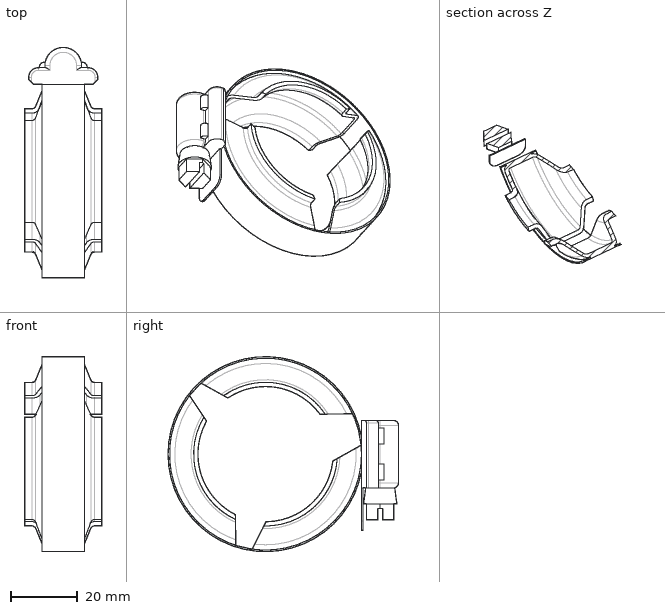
import cadquery as cq
import math

BAND_OUTER_R = 29.2
BAND_THICKNESS = 0.5
BAND_INNER_R = BAND_OUTER_R - BAND_THICKNESS
BAND_WIDTH = 12.74

SEGMENT_WIDTH = 23.11
SEGMENT_INNER_R = 20.2
SHEET_THICKNESS = 1.3
SEAT_DEPTH = 0.02
SEGMENT_OUTER_R = BAND_INNER_R + SEAT_DEPTH
LIP_CORNER_X = 8.55
WALL_SLOPE = 22.2
BEND_INSIDE_R = 1.25
BEND_OUTSIDE_R = BEND_INSIDE_R + SHEET_THICKNESS

SEGMENT_GAPS = [
    (15.1, 21.0, 9.7),
    (137.3, 13.4, 5.0),
    (257.0, 13.4, 4.9),
]

HOUSING_BOTTOM_Y = BAND_INNER_R
HOUSING_TOP_Y = 39.82
HOUSING_HALF_LENGTH = 10.1
DOME_R = 5.5
SCREW_Y = HOUSING_TOP_Y - DOME_R
DOME_END_FILLET = 1.5
FLANGE_TOP_Y = 33.75
FLANGE_HALF_WIDTH = 10.36
FLANGE_CORNER_R = 2.9
FLANGE_CHAMFER = 1.5
FLANGE_END_FILLET = 0.8

LUG_HALF_WIDTH = 7.2
LUG_TOP_Y = 35.4
LUG_CORNER_R = 1.6
LUG_LENGTH = 4.8
LUG_CENTER_Z = 5.4

COLLAR_NEAR_R = 4.4
COLLAR_FAR_R = 5.05
COLLAR_LENGTH = 4.8
HEAD_ACROSS_FLATS = 8.23
HEAD_SIDES = 6
HEAD_LENGTH = 4.8
SLOT_WIDTH = 1.4
SLOT_DEPTH = 3.4

TAIL_END_Z = -22.8
TAIL_CORNER_R = 2.8


def polar(radius, degrees):
    angle = math.radians(degrees)
    return (radius * math.cos(angle), radius * math.sin(angle))


def revolve_about_x(profile):
    return profile.revolve(360, (0, 0, 0), (1, 0, 0))


def make_band():
    band = cq.Workplane("YZ").circle(BAND_OUTER_R).circle(BAND_INNER_R)
    return band.extrude(BAND_WIDTH / 2, both=True)


def with_mirror_image(right_side):
    """Continue a chain of points on the +X side with its mirror image."""
    return right_side + [(-x, y) for x, y in reversed(right_side)]


def round_ring_edges(ring, radius, x, bend_r):
    """Round the two circular edges of a given radius at +x and -x."""
    tolerance = 0.01
    edges = []
    for edge in ring.edges("%CIRCLE").vals():
        center_x = edge.Center().x
        if abs(edge.radius() - radius) < tolerance and abs(abs(center_x) - x) < tolerance:
            edges.append(edge)
    return ring.newObject(edges).fillet(bend_r)


def make_segment_ring():
    """Channel of constant sheet thickness: floor, two sloped walls, two lips."""
    slope = math.radians(WALL_SLOPE)
    lip_outer_r = SEGMENT_INNER_R + SHEET_THICKNESS
    floor_inner_r = SEGMENT_OUTER_R - SHEET_THICKNESS
    corner_shift = SHEET_THICKNESS * math.tan((math.pi / 2 - slope) / 2)
    wall_run = (SEGMENT_OUTER_R - lip_outer_r) * math.tan(slope)
    half_width = SEGMENT_WIDTH / 2
    lip_inner_x = LIP_CORNER_X - corner_shift
    floor_outer_x = LIP_CORNER_X - wall_run
    floor_inner_x = floor_outer_x - corner_shift

    outer_side = [
        (half_width, lip_outer_r),
        (LIP_CORNER_X, lip_outer_r),
        (floor_outer_x, SEGMENT_OUTER_R),
    ]
    inner_side = [
        (half_width, SEGMENT_INNER_R),
        (lip_inner_x, SEGMENT_INNER_R),
        (floor_inner_x, floor_inner_r),
    ]
    outline = with_mirror_image(outer_side) + with_mirror_image(inner_side)[::-1]
    ring = revolve_about_x(cq.Workplane("XY").polyline(outline).close())
    ring = round_ring_edges(ring, lip_outer_r, LIP_CORNER_X, BEND_INSIDE_R)
    ring = round_ring_edges(ring, SEGMENT_INNER_R, lip_inner_x, BEND_OUTSIDE_R)
    ring = round_ring_edges(ring, SEGMENT_OUTER_R, floor_outer_x, BEND_OUTSIDE_R)
    return round_ring_edges(ring, floor_inner_r, floor_inner_x, BEND_INSIDE_R)


def make_gap(center, half_at_lip, half_at_band):
    """Prism with straight sides that separates two neighbouring segments."""
    beyond_band = 1.2 * BAND_OUTER_R
    outline = [
        (0, 0),
        polar(SEGMENT_INNER_R, center - half_at_lip),
        polar(SEGMENT_OUTER_R, center - half_at_band),
        polar(beyond_band, center),
        polar(SEGMENT_OUTER_R, center + half_at_band),
        polar(SEGMENT_INNER_R, center + half_at_lip),
    ]
    gap = cq.Workplane("YZ").polyline(outline).close()
    return gap.extrude(SEGMENT_WIDTH, both=True)


def make_segments():
    segments = make_segment_ring()
    for center, half_at_lip, half_at_band in SEGMENT_GAPS:
        segments = segments.cut(make_gap(center, half_at_lip, half_at_band))
    return segments


def make_flange():
    """Wide housing foot with rounded shoulders and chamfered lower edges."""
    outline = with_mirror_image([
        (FLANGE_HALF_WIDTH - FLANGE_CHAMFER, HOUSING_BOTTOM_Y),
        (FLANGE_HALF_WIDTH, HOUSING_BOTTOM_Y + FLANGE_CHAMFER),
        (FLANGE_HALF_WIDTH, FLANGE_TOP_Y),
    ])
    flange = cq.Workplane("XY").polyline(outline).close().extrude(HOUSING_HALF_LENGTH, both=True)
    flange = flange.edges("|Z and >Y").fillet(FLANGE_CORNER_R)
    return flange.faces(">Z").edges(">Y").fillet(FLANGE_END_FILLET)


def make_dome():
    """Round-topped screw cover with rounded ends."""
    outline = (
        cq.Workplane("XY")
        .moveTo(-DOME_R, HOUSING_BOTTOM_Y)
        .lineTo(-DOME_R, SCREW_Y)
        .threePointArc((0, HOUSING_TOP_Y), (DOME_R, SCREW_Y))
        .lineTo(DOME_R, HOUSING_BOTTOM_Y)
        .close()
    )
    dome = outline.extrude(HOUSING_HALF_LENGTH, both=True)
    return dome.faces("|Z").edges("not <Y").fillet(DOME_END_FILLET)


def make_lugs(center_z):
    """Pair of rounded lugs, one on each side of the dome, as one block through it."""
    lugs = cq.Workplane("XY").box(
        2 * LUG_HALF_WIDTH, LUG_TOP_Y - HOUSING_BOTTOM_Y, LUG_LENGTH, centered=(True, False, True)
    )
    lugs = lugs.edges("|Z and >Y").fillet(LUG_CORNER_R)
    return lugs.translate((0, HOUSING_BOTTOM_Y, center_z))


def make_screw():
    collar_end_z = -HOUSING_HALF_LENGTH - COLLAR_LENGTH
    collar = (
        cq.Workplane("XY", origin=(0, SCREW_Y, -HOUSING_HALF_LENGTH))
        .circle(COLLAR_NEAR_R)
        .workplane(offset=-COLLAR_LENGTH)
        .circle(COLLAR_FAR_R)
        .loft()
    )
    across_corners = HEAD_ACROSS_FLATS / math.cos(math.pi / HEAD_SIDES)
    head_plane = cq.Workplane("XY", origin=(0, SCREW_Y, collar_end_z))
    head = head_plane.polygon(HEAD_SIDES, across_corners).extrude(-HEAD_LENGTH)
    slot = (
        head_plane.workplane(offset=-HEAD_LENGTH)
        .rect(2 * across_corners, SLOT_WIDTH)
        .extrude(SLOT_DEPTH)
    )
    return collar.union(head.cut(slot))


def make_tail():
    tail = cq.Workplane("XY").box(BAND_WIDTH, BAND_THICKNESS, -TAIL_END_Z, centered=(True, False, False))
    tail = tail.translate((0, BAND_INNER_R, TAIL_END_Z))
    return tail.edges("|Y and <Z").fillet(TAIL_CORNER_R)


result = make_band().union(make_segments())
result = result.union(make_flange()).union(make_dome())
for lug_z in (-LUG_CENTER_Z, LUG_CENTER_Z):
    result = result.union(make_lugs(lug_z))
result = result.union(make_tail()).union(make_screw())